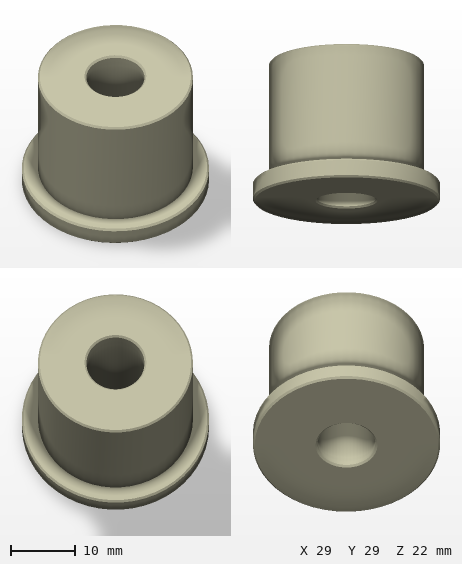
import cadquery as cq

flange_diameter = 29.0
flange_thickness = 3.0
body_diameter = 24.0
total_height = 22.0
bore_diameter = 9.0
edge_chamfer = 0.3


def chamfered_disc(diameter, height):
    """Disc standing on the XY plane with both rims chamfered."""
    disc = cq.Workplane("XY").circle(diameter / 2).extrude(height)
    return disc.faces("<Z or >Z").chamfer(edge_chamfer)


flange = chamfered_disc(flange_diameter, flange_thickness)
body = chamfered_disc(body_diameter, total_height)

bore = cq.Workplane("XY").circle(bore_diameter / 2).extrude(total_height)
mouth_diameter = bore_diameter + 2 * edge_chamfer
lower_mouth = (
    cq.Workplane("XY")
    .circle(mouth_diameter / 2)
    .workplane(offset=edge_chamfer)
    .circle(bore_diameter / 2)
    .loft(ruled=True)
)
upper_mouth = lower_mouth.mirror("XY").translate((0, 0, total_height))

result = flange.union(body).cut(bore).cut(lower_mouth).cut(upper_mouth)